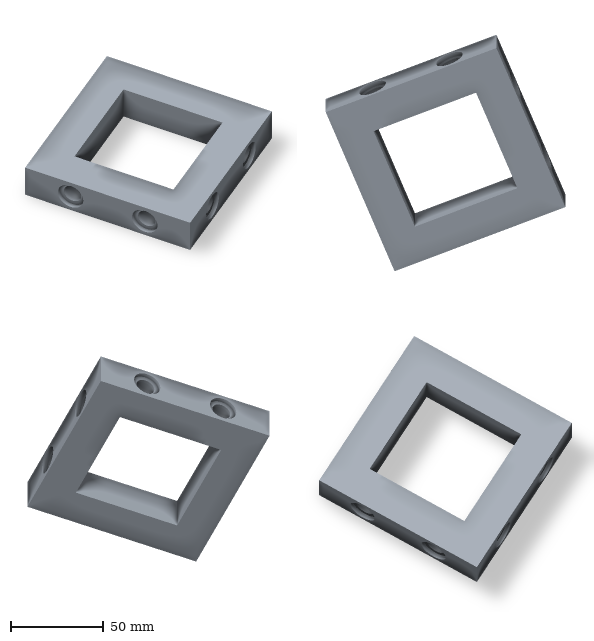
import cadquery as cq
import math

outer_side = 100.0
frame_width = 20.0
thickness = 20.0
window_side = outer_side - 2 * frame_width

socket_spacing = 45.0
socket_diameter = 10.5
counterbore_diameter = 15.5
counterbore_depth = 2.5
bore_depth = 1.0

side_count = 4


def make_frame():
    """Square plate with a square window, centred on the origin."""
    plate = cq.Workplane("XY").box(outer_side, outer_side, thickness)
    window = cq.Workplane("XY").box(window_side, window_side, thickness)
    return plate.cut(window)


def make_socket(x):
    """Cutter for one socket entering the -Y face: counterbore, short bore, hemispherical end."""
    socket_radius = socket_diameter / 2
    bore_end = counterbore_depth + bore_depth
    arc_offset = socket_radius * math.sqrt(0.5)
    half_profile = (
        cq.Workplane("XY")
        .lineTo(counterbore_diameter / 2, 0)
        .lineTo(counterbore_diameter / 2, counterbore_depth)
        .lineTo(socket_radius, counterbore_depth)
        .lineTo(socket_radius, bore_end)
        .threePointArc((arc_offset, bore_end + arc_offset), (0, bore_end + socket_radius))
        .close()
    )
    socket = half_profile.revolve(360, (0, 0, 0), (0, 1, 0))
    return socket.translate((x, -outer_side / 2, 0))


result = make_frame()
for side in range(side_count):
    angle = side * 360 / side_count
    for x in (-socket_spacing / 2, socket_spacing / 2):
        socket = make_socket(x).rotate((0, 0, 0), (0, 0, 1), angle)
        result = result.cut(socket)